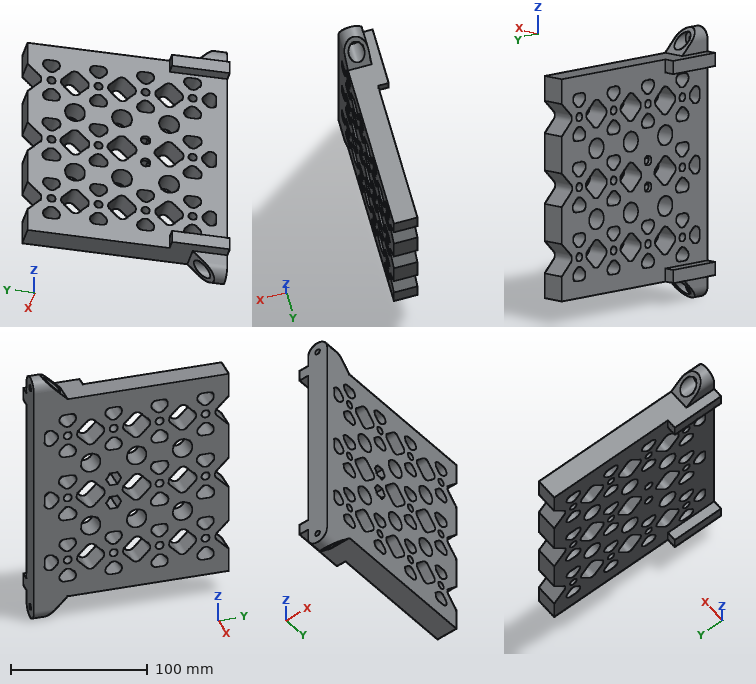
import cadquery as cq

thickness = 18.0
length_y = 150.0
total_height = 202.0
ear_height = thickness
plate_height = total_height - 2 * ear_height

ear_tip_depth = 8.0
ear_root_depth = ear_tip_depth + ear_height
ear_radius = thickness / 2
screw_height = total_height / 2 - ear_radius
screw_diameter = 4.5
screw_head_diameter = 12.0
screw_head_seat = 8.0

rail_projection = 8.0
rail_length = 43.5
rail_height = 9.9

column_pitch = 35.4
row_pitch = 52.3
first_column = 26.0
columns = [first_column + i * column_pitch for i in range(4)]
column_gaps = [y + column_pitch / 2 for y in columns[:-1]]
node_rows = [-row_pitch, 0.0, row_pitch]
node_diameter = 6.0
round_diameter = 15.0
round_row = 26.5
opening_fillet = 4.0
outer_half_diagonal = 12.1
middle_half_diagonal = 12.5
outer_flat_distance = 17.8
middle_flat_distance = 18.5

pair_column = columns[1]
pair_offset = 9.9
pair_diameter = 7.0
nut_corner_diameter = 11.5
nut_seat = 3.0


def through_x(profile):
    """Cutter running through the plate thickness from a YZ sketch."""
    return profile.extrude(thickness)


def yz_plane(y=0.0, z=0.0, turn=0.0):
    """Sketch plane on the -X face, with an optional turn about X."""
    plane = cq.Plane(origin=(0, y, z), xDir=(0, 1, 0), normal=(1, 0, 0))
    return cq.Workplane(plane.rotated((0, 0, turn)))


def round_holes(points, diameter):
    """Round cutters through the plate at the given (Y, Z) points."""
    return through_x(yz_plane().pushPoints(points).circle(diameter / 2))


def diamond(y, z, half_diagonal):
    """Square on its corner, with rounded corners."""
    corners = [(half_diagonal, 0), (0, half_diagonal), (-half_diagonal, 0), (0, -half_diagonal)]
    cutter = through_x(yz_plane(y, z).polyline(corners).close())
    return cutter.edges("|X").fillet(opening_fillet)


def edge_notch(z, half_diagonal):
    """V notch in the +Y edge with a rounded tip."""
    corners = [(0, half_diagonal), (-half_diagonal, 0), (0, -half_diagonal)]
    cutter = through_x(yz_plane(length_y, z).polyline(corners).close())
    return cutter.edges("|X and <Y").fillet(opening_fillet)


def half_diamond(y, z, turn, flat_distance, half_diagonal):
    """Rounded triangle that points at the node (y, z); turn 0 puts it on the +Z side."""
    corners = [
        (-half_diagonal, flat_distance),
        (half_diagonal, flat_distance),
        (0, flat_distance - half_diagonal),
    ]
    cutter = through_x(yz_plane(y, z, turn).polyline(corners).close())
    return cutter.edges("|X").fillet(opening_fillet)


def make_hinge_bar():
    """Full-height rounded bar whose ends slope back to the plate at 45 degrees."""
    bar = (
        cq.Workplane("XZ")
        .center(thickness / 2, 0)
        .slot2D(total_height, thickness, 90)
        .extrude(-ear_root_depth)
    )
    side = [
        (0, -total_height / 2),
        (ear_tip_depth, -total_height / 2),
        (ear_root_depth, -plate_height / 2),
        (ear_root_depth, plate_height / 2),
        (ear_tip_depth, total_height / 2),
        (0, total_height / 2),
    ]
    return bar.intersect(through_x(yz_plane().polyline(side).close()))


def make_body():
    """Plate joined with the hinge bar and the two rails."""
    body = cq.Workplane("XY").box(thickness, length_y, plate_height, centered=(False, False, True))
    body = body.union(make_hinge_bar())
    for side in (-1, 1):
        rail = (
            cq.Workplane("XY")
            .box(rail_projection, rail_length, rail_height, centered=(False, False, True))
            .translate((-rail_projection, 0, side * (plate_height - rail_height) / 2))
        )
        body = body.union(rail)
    return body


def cut_screw_holes(body):
    """Screw holes along Y through both ears, with room for the heads behind."""
    for z in (-screw_height, screw_height):
        axis = cq.Workplane("XZ").center(thickness / 2, z)
        body = body.cut(axis.circle(screw_diameter / 2).extrude(-ear_root_depth))
        head = axis.workplane(offset=-screw_head_seat).circle(screw_head_diameter / 2)
        body = body.cut(head.extrude(-ear_height))
    return body


def cut_lattice(body):
    """Diamonds, half diamonds, notches, node holes and large round holes."""
    nodes = []
    for z in node_rows:
        is_middle = z == 0
        half_diagonal = middle_half_diagonal if is_middle else outer_half_diagonal
        flat_distance = middle_flat_distance if is_middle else outer_flat_distance
        body = body.cut(edge_notch(z, half_diagonal))
        for y in column_gaps:
            body = body.cut(diamond(y, z, half_diagonal))
        for y in columns:
            if is_middle and y == pair_column:
                continue
            nodes.append((y, z))
            for turn in (0, 180):
                body = body.cut(half_diamond(y, z, turn, flat_distance, half_diagonal))
        body = body.cut(half_diamond(first_column, z, 90, outer_flat_distance, half_diagonal))
    body = body.cut(round_holes(nodes, node_diameter))
    rounds = [(y, z) for y in column_gaps for z in (-round_row, round_row)]
    return body.cut(round_holes(rounds, round_diameter))


def cut_hole_pair(body):
    """Two through holes, each with a hexagonal nut pocket sunk from the +X face."""
    centres = [(pair_column, -pair_offset), (pair_column, pair_offset)]
    pockets = through_x(yz_plane().pushPoints(centres).polygon(6, nut_corner_diameter))
    pockets = pockets.translate((nut_seat, 0, 0))
    return body.cut(round_holes(centres, pair_diameter)).cut(pockets)


result = cut_hole_pair(cut_lattice(cut_screw_holes(make_body())))